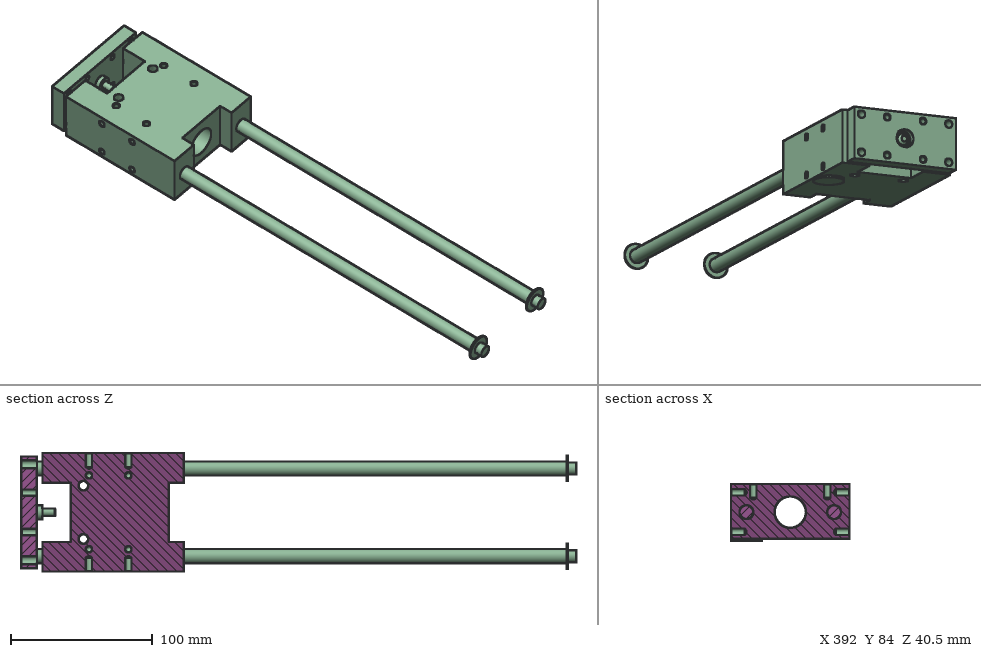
import cadquery as cq
import math


total_length = 392.0

thread_diameter = 4.5
thread_mouth_diameter = 5.0
drill_point_angle = 118

plate_thickness = 11.0
plate_width = 79.0
plate_height = 37.5
plate_hole_spacing_z = 28.0
corner_hole_spacing_y = 68.0
corner_hole_diameter = 5.5
inner_hole_spacing_y = 28.0

rod_spacing = 62.0
rod_diameter = 10.0
rod_tip_diameter = 8.5
rod_tip_length = 6.0
stop_disc_diameter = 18.0
stop_disc_thickness = 0.98

recess_diameter = 13.0
recess_depth = 5.0
screw_rim_diameter = 10.0
screw_rim_height = 1.5
screw_end_diameter = 8.5
screw_tip_diameter = 4.5
screw_tip_height = 2.5
collar_diameter = 10.0
collar_length = 4.0
stud_diameter = 5.5
stud_length = 9.5
stud_chamfer = 0.8

plate_gap = 4.0
housing_length = 100.0
housing_width = 84.0
housing_height = 39.0
front_slot_depth = 20.0
rear_slot_depth = 10.5
slot_width = 41.5
cylinder_bore_diameter = 22.0
mount_hole_offset = 33.0
mount_hole_spacing_x = 28.0
top_hole_spacing_y = 52.0
side_hole_spacing_z = 28.0
mount_hole_depth = 9.8
through_hole_offset = 29.0
through_hole_spacing = 37.5
through_hole_diameter = 6.5
pad_diameter = 22.0
pad_thickness = 1.5

housing_front = plate_thickness + plate_gap
housing_rear = housing_front + housing_length
housing_bottom = -plate_height / 2
housing_top = housing_bottom + housing_height
mount_center_x = housing_front + mount_hole_offset + mount_hole_spacing_x / 2
rod_sides = (-rod_spacing / 2, rod_spacing / 2)
drill_point_depth = thread_diameter / 2 / math.tan(math.radians(drill_point_angle / 2))
tip_start = total_length - rod_tip_length


def block(x_start, x_end, width, z_bottom, z_top):
    """Box centred on Y = 0."""
    return (
        cq.Workplane("XY")
        .box(x_end - x_start, width, z_top - z_bottom, centered=(False, True, False))
        .translate((x_start, 0, z_bottom))
    )


def x_cylinder(diameter, x_start, x_end, y=0):
    """Cylinder along X whose axis lies at height Z = 0."""
    return (
        cq.Workplane("YZ", origin=(x_start, y, 0))
        .circle(diameter / 2)
        .extrude(x_end - x_start)
    )


def guide_rod(y):
    """Rod with a stop disc and a turned-down tip."""
    shaft = x_cylinder(rod_diameter, plate_thickness, tip_start, y)
    disc = x_cylinder(stop_disc_diameter, tip_start - stop_disc_thickness, tip_start, y)
    tip = x_cylinder(rod_tip_diameter, tip_start, total_length, y)
    return shaft.union(disc).union(tip)


def hole_pattern(plane, spacing_u, spacing_v):
    """Workplane with points on the corners of a rectangle centred on its origin."""
    return cq.Workplane(plane).rect(spacing_u, spacing_v, forConstruction=True).vertices()


def threaded_holes(plane, spacing_u, spacing_v, depth, point_depth=0):
    """Four holes with 45-degree countersunk mouths, going in against the plane's normal.

    A point depth adds a drill cone below the full-diameter depth.
    """
    mouth_depth = (thread_mouth_diameter - thread_diameter) / 2
    profile = [
        (0, 0),
        (thread_mouth_diameter / 2, 0),
        (thread_diameter / 2, -mouth_depth),
        (thread_diameter / 2, -depth),
        (0, -depth - point_depth),
    ]
    hole = cq.Workplane("XZ").polyline(profile).close().revolve(360, (0, 0, 0), (0, 1, 0)).val()
    return hole_pattern(plane, spacing_u, spacing_v).eachpoint(hole, useLocalCoordinates=True)


def corner_holes():
    plane = cq.Plane.named("YZ")
    points = hole_pattern(plane, corner_hole_spacing_y, plate_hole_spacing_z)
    return points.circle(corner_hole_diameter / 2).extrude(plate_thickness)


def inner_holes():
    plane = cq.Plane(origin=(0, 0, 0), xDir=(0, -1, 0), normal=(-1, 0, 0))
    return threaded_holes(plane, inner_hole_spacing_y, plate_hole_spacing_z, plate_thickness)


def coupling_stud():
    """Collar on the back of the plate with a chamfered stud."""
    collar_end = plate_thickness + collar_length
    collar = x_cylinder(collar_diameter, plate_thickness, collar_end)
    stud = x_cylinder(stud_diameter, collar_end, collar_end + stud_length).faces(">X").chamfer(stud_chamfer)
    return collar.union(stud)


def screw_end():
    """Rimmed, cone-tipped screw end standing on the floor of the recess."""
    rim_front = recess_depth - screw_rim_height
    tip_front = rim_front - screw_tip_height
    profile = [
        (tip_front, 0),
        (tip_front, screw_tip_diameter / 2),
        (rim_front, screw_end_diameter / 2),
        (rim_front, screw_rim_diameter / 2),
        (recess_depth, screw_rim_diameter / 2),
        (recess_depth, 0),
    ]
    return cq.Workplane("XY").polyline(profile).close().revolve(360, (0, 0, 0), (1, 0, 0))


def make_carriage():
    body = block(0, plate_thickness, plate_width, -plate_height / 2, plate_height / 2)
    body = body.cut(corner_holes()).cut(inner_holes())
    body = body.cut(x_cylinder(recess_diameter, 0, recess_depth))
    body = body.union(screw_end())
    body = body.union(coupling_stud())
    for y in rod_sides:
        body = body.union(guide_rod(y))
    return body


def top_mount_holes():
    plane = cq.Plane.named("XY", origin=(mount_center_x, 0, housing_top))
    return threaded_holes(
        plane, mount_hole_spacing_x, top_hole_spacing_y, mount_hole_depth, drill_point_depth
    )


def side_mount_holes():
    """Holes in the -Y side."""
    plane = cq.Plane.named("XZ", origin=(mount_center_x, -housing_width / 2, 0))
    return threaded_holes(
        plane, mount_hole_spacing_x, side_hole_spacing_z, mount_hole_depth, drill_point_depth
    )


def through_holes():
    """Two vertical holes, one on each side of the cylinder bore."""
    return (
        cq.Workplane("XY", origin=(housing_front + through_hole_offset, 0, housing_bottom))
        .pushPoints([(0, -through_hole_spacing / 2), (0, through_hole_spacing / 2)])
        .circle(through_hole_diameter / 2)
        .extrude(housing_height)
    )


def bottom_pad():
    """Round pad under the +Y rod."""
    return (
        cq.Workplane("XY", origin=(mount_center_x, rod_spacing / 2, housing_bottom))
        .circle(pad_diameter / 2)
        .extrude(-pad_thickness)
    )


def make_housing():
    body = block(housing_front, housing_rear, housing_width, housing_bottom, housing_top)
    front_slot_end = housing_front + front_slot_depth
    rear_slot_start = housing_rear - rear_slot_depth
    body = body.cut(block(housing_front, front_slot_end, slot_width, housing_bottom, housing_top))
    body = body.cut(block(rear_slot_start, housing_rear, slot_width, housing_bottom, housing_top))
    body = body.cut(x_cylinder(cylinder_bore_diameter, front_slot_end, rear_slot_start))
    for y in rod_sides:
        body = body.cut(x_cylinder(rod_diameter, housing_front, housing_rear, y))

    side_holes = side_mount_holes()
    body = body.cut(top_mount_holes()).cut(side_holes).cut(side_holes.mirror("XZ"))
    body = body.cut(through_holes())
    return body.union(bottom_pad())


carriage = make_carriage()
housing = make_housing()

result = cq.Compound.makeCompound([carriage.val(), housing.val()])